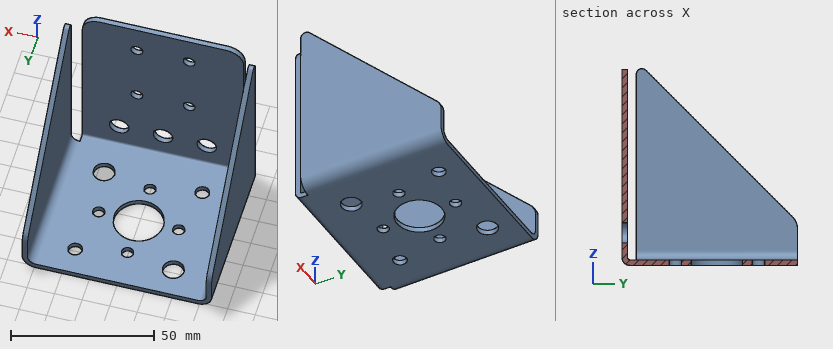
import cadquery as cq
import math

sheet = 2.0
width = 68.8
height = 68.8
side_depth = 56.4
total_depth = 61.45
back_y = side_depth / 2
front_y = back_y - total_depth

side_bend = 5.1
front_bend = 2.8

plate_width = width - 2 * side_bend
plate_height = 68.5
plate_corner = 6.4

tip_radius = 2.0
heel_radius = 6.0
tip_half_angle = math.radians(45) / 2

bore_diameter = 17.8
screw_diameter = 4.3
screw_circle_radius = 14.5
large_corner_diameter = 7.65
large_corner_offset = 17.5
small_corner_diameter = 5.1
small_corner_offset = 18.0

mount_half_pitch = 9.5
mount_rows = (31.65, 57.05)
cable_diameter = 7.0
cable_pitch = 15.9
cable_height = 11.4


def channel():
    """U-shaped channel: base, two bends and two full-height side walls."""
    outer = (
        cq.Workplane("XY")
        .box(width, side_depth, height, centered=(True, True, False))
        .edges("|Y and <Z")
        .fillet(side_bend)
    )
    inner = (
        cq.Workplane("XY", origin=(0, 0, sheet))
        .box(width - 2 * sheet, side_depth, height, centered=(True, True, False))
        .edges("|Y and <Z")
        .fillet(side_bend - sheet)
    )
    return outer.cut(inner)


def gusset_outline():
    """Block with the sloped, rounded side profile of the gussets."""
    sharp_tip_z = height - tip_radius + tip_radius / math.tan(tip_half_angle)
    heel_z = sharp_tip_z - side_depth
    return (
        cq.Workplane("YZ", origin=(-width / 2, 0, 0))
        .polyline([(-back_y, 0), (back_y, 0), (back_y, heel_z), (-back_y, sharp_tip_z)])
        .close()
        .extrude(width)
        .edges("|X and >Z")
        .fillet(tip_radius)
        .edges(cq.selectors.NearestToPointSelector((0, back_y, heel_z)))
        .fillet(heel_radius)
    )


def front_flange():
    """L-shaped flange: a strip in front of the base, a bend and the front plate."""
    inner_bend = front_bend - sheet
    profile = (
        cq.Workplane("YZ", origin=(-plate_width / 2, 0, 0))
        .moveTo(-back_y, 0)
        .lineTo(front_y + front_bend, 0)
        .radiusArc((front_y, front_bend), front_bend)
        .lineTo(front_y, plate_height)
        .lineTo(front_y + sheet, plate_height)
        .lineTo(front_y + sheet, front_bend)
        .radiusArc((front_y + front_bend, sheet), -inner_bend)
        .lineTo(-back_y, sheet)
        .close()
    )
    return profile.extrude(plate_width).edges("|Y and >Z").fillet(plate_corner)


def base_holes(points, diameter):
    return cq.Workplane("XY").pushPoints(points).circle(diameter / 2).extrude(sheet)


def front_holes(points, diameter):
    plane = cq.Workplane("XZ", origin=(0, front_y, 0))
    return plane.pushPoints(points).circle(diameter / 2).extrude(-sheet)


screw_points = [
    (screw_circle_radius, 0),
    (0, screw_circle_radius),
    (-screw_circle_radius, 0),
    (0, -screw_circle_radius),
]
large_corner_points = [(-s * large_corner_offset, s * large_corner_offset) for s in (-1, 1)]
small_corner_points = [(s * small_corner_offset, s * small_corner_offset) for s in (-1, 1)]
mount_points = [(s * mount_half_pitch, z) for s in (-1, 1) for z in mount_rows]
cable_points = [(i * cable_pitch, cable_height) for i in (-1, 0, 1)]

result = (
    channel()
    .intersect(gusset_outline())
    .union(front_flange())
    .cut(base_holes([(0, 0)], bore_diameter))
    .cut(base_holes(screw_points, screw_diameter))
    .cut(base_holes(large_corner_points, large_corner_diameter))
    .cut(base_holes(small_corner_points, small_corner_diameter))
    .cut(front_holes(mount_points, screw_diameter))
    .cut(front_holes(cable_points, cable_diameter))
)